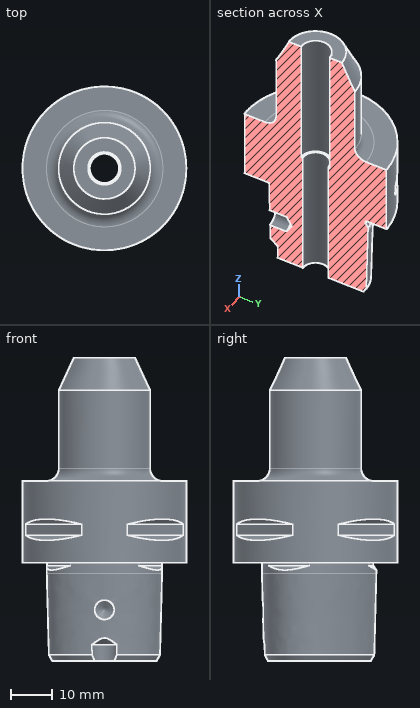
import cadquery as cq
import math

TOTAL_LENGTH = 74.0
SHANK_LENGTH = 24.0
FLANGE_HEIGHT = 20.0
FLANGE_TOP = SHANK_LENGTH + FLANGE_HEIGHT
NOSE_CONE_HEIGHT = 8.0

FLANGE_RADIUS = 40.0 / 2
NOSE_RADIUS = 11.2
NOSE_TIP_RADIUS = 7.5
NOSE_FILLET = 3.0

TOOL_BORE_RADIUS = 4.0
TOOL_BORE_DEPTH = 37.0
THROUGH_BORE_RADIUS = 3.55

SHANK_RADIUS = 14.0
LOBE_HEIGHT = 0.9
OUTLINE_POINTS = 36
STRAIGHT_LENGTH = 2.5
TAPER_SLOPE = 0.025
END_CHAMFER_HEIGHT = 1.55
END_CHAMFER_WIDTH = 0.9

RELIEF_RADIUS = 14.1
RELIEF_STRAIGHT = 0.7
RELIEF_LENGTH = 2.0
RELIEF_OUTER_RADIUS = 15.0

GROOVE_ANGLES = (45, 135, 225, 315)
GROOVE_CENTER_Z = 32.05
GROOVE_FLOOR_DISTANCE = 17.55
GROOVE_FLOOR_WIDTH = 2.7
GROOVE_FLANK_ANGLE = 27.0

CROSS_HOLE_Z = 12.5
CROSS_HOLE_RADIUS = 2.4
CROSS_HOLE_WALL_Y = -8.15
CROSS_HOLE_TIP_ANGLE = 118.0
NOTCH_CENTER_Y = -14.3
NOTCH_RADIUS = 3.55
NOTCH_WALL_HEIGHT = 4.0
NOTCH_TIP_ANGLE = 100.0


def tip_height(radius, tip_angle):
    """Height of a drill point with the given full angle."""
    return radius / math.tan(math.radians(tip_angle / 2))


def revolve_about_z(profile):
    """Turn a closed (radius, z) profile around the Z axis."""
    return profile.close().revolve(360, (0, 0, 0), (0, 1, 0))


def make_turned_body():
    profile = (
        cq.Workplane("XZ")
        .moveTo(0, SHANK_LENGTH)
        .lineTo(FLANGE_RADIUS, SHANK_LENGTH)
        .lineTo(FLANGE_RADIUS, FLANGE_TOP)
        .lineTo(NOSE_RADIUS + NOSE_FILLET, FLANGE_TOP)
        .radiusArc((NOSE_RADIUS, FLANGE_TOP + NOSE_FILLET), NOSE_FILLET)
        .lineTo(NOSE_RADIUS, TOTAL_LENGTH - NOSE_CONE_HEIGHT)
        .lineTo(NOSE_TIP_RADIUS, TOTAL_LENGTH)
        .lineTo(0, TOTAL_LENGTH)
    )
    return revolve_about_z(profile)


def lobed_wire(radius, z):
    """Closed three-lobed outline: a circle of the given radius plus the threefold wave."""
    points = []
    for step in range(OUTLINE_POINTS):
        angle = 2 * math.pi * step / OUTLINE_POINTS
        x = -radius * math.sin(angle) + LOBE_HEIGHT * math.sin(2 * angle)
        y = radius * math.cos(angle) + LOBE_HEIGHT * math.cos(2 * angle)
        points.append(cq.Vector(x, y, z))
    return cq.Wire.assembleEdges([cq.Edge.makeSpline(points, periodic=True)])


def make_shank():
    taper_top = SHANK_LENGTH - STRAIGHT_LENGTH
    small_radius = SHANK_RADIUS - TAPER_SLOPE * (taper_top - END_CHAMFER_HEIGHT)
    sections = [
        lobed_wire(small_radius - END_CHAMFER_WIDTH, 0),
        lobed_wire(small_radius, END_CHAMFER_HEIGHT),
        lobed_wire(SHANK_RADIUS, taper_top),
        lobed_wire(SHANK_RADIUS, SHANK_LENGTH),
    ]
    return cq.Workplane(cq.Solid.makeLoft(sections, True))


def make_relief_ring():
    profile = (
        cq.Workplane("XZ")
        .moveTo(RELIEF_RADIUS, SHANK_LENGTH)
        .lineTo(RELIEF_RADIUS, SHANK_LENGTH - RELIEF_STRAIGHT)
        .lineTo(RELIEF_OUTER_RADIUS, SHANK_LENGTH - RELIEF_LENGTH)
        .lineTo(RELIEF_OUTER_RADIUS, SHANK_LENGTH)
    )
    return revolve_about_z(profile)


def make_bore():
    through = cq.Workplane("XY").circle(THROUGH_BORE_RADIUS).extrude(TOTAL_LENGTH)
    tool = (
        cq.Workplane("XY", origin=(0, 0, TOTAL_LENGTH))
        .circle(TOOL_BORE_RADIUS)
        .extrude(-TOOL_BORE_DEPTH)
    )
    return through.union(tool)


def make_gripper_groove(angle):
    """Straight trapezoidal groove whose flat floor faces the given direction."""
    depth = FLANGE_RADIUS - GROOVE_FLOOR_DISTANCE
    half_floor = GROOVE_FLOOR_WIDTH / 2
    half_mouth = half_floor + depth * math.tan(math.radians(GROOVE_FLANK_ANGLE))
    return (
        cq.Workplane("XZ")
        .polyline(
            [
                (GROOVE_FLOOR_DISTANCE, GROOVE_CENTER_Z - half_floor),
                (GROOVE_FLOOR_DISTANCE, GROOVE_CENTER_Z + half_floor),
                (FLANGE_RADIUS, GROOVE_CENTER_Z + half_mouth),
                (FLANGE_RADIUS, GROOVE_CENTER_Z - half_mouth),
            ]
        )
        .close()
        .extrude(FLANGE_RADIUS, both=True)
        .rotate((0, 0, 0), (0, 0, 1), angle)
    )


def make_drilled_hole(start, direction, radius, wall_depth, tip_angle):
    """Blind round hole with a straight wall and a conical drill point."""
    start = cq.Vector(*start)
    direction = cq.Vector(*direction)
    wall_end = start + direction * wall_depth
    wall = cq.Solid.makeCylinder(radius, wall_depth, start, direction)
    tip = cq.Solid.makeCone(radius, 0, tip_height(radius, tip_angle), wall_end, direction)
    return cq.Workplane(wall).union(cq.Workplane(tip))


def make_cross_hole():
    start = (0, -FLANGE_RADIUS, CROSS_HOLE_Z)
    wall_depth = FLANGE_RADIUS + CROSS_HOLE_WALL_Y
    return make_drilled_hole(start, (0, 1, 0), CROSS_HOLE_RADIUS, wall_depth, CROSS_HOLE_TIP_ANGLE)


def make_notch():
    start = (0, NOTCH_CENTER_Y, 0)
    return make_drilled_hole(start, (0, 0, 1), NOTCH_RADIUS, NOTCH_WALL_HEIGHT, NOTCH_TIP_ANGLE)


shank = make_shank().cut(make_relief_ring()).cut(make_cross_hole()).cut(make_notch())
result = make_turned_body().union(shank).cut(make_bore())
for groove_angle in GROOVE_ANGLES:
    result = result.cut(make_gripper_groove(groove_angle))